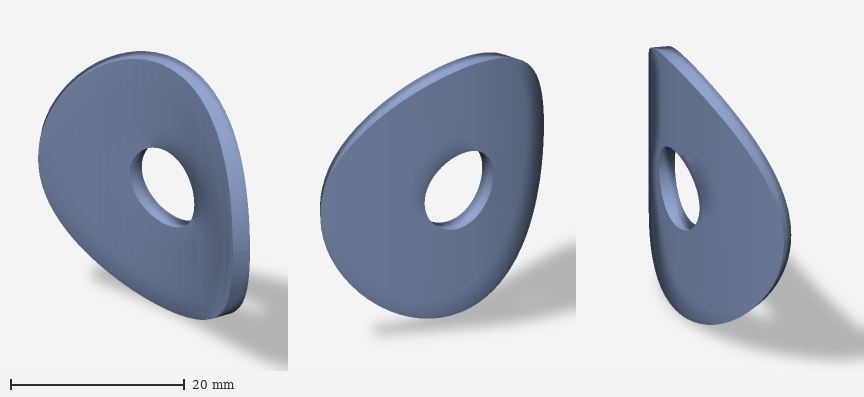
import cadquery as cq

outer_diameter = 33.0
hole_diameter = 10.0
thickness = 2.0
inner_radius = 24.98
inner_half_width = 15.1
axis_y = -inner_radius
outer_radius = inner_radius + thickness


def curved_disc():
    """Trim the inner cylinder to an oval outline, then thicken it radially."""
    cutter = (
        cq.Workplane("XZ", origin=(0, axis_y, 0))
        .ellipse(outer_diameter / 2, inner_half_width, rotation_angle=90)
        .extrude(-2 * inner_radius)
    )
    cylinder = (
        cq.Workplane("XY", origin=(0, axis_y, 0))
        .circle(inner_radius)
        .extrude(outer_diameter, both=True)
        .rotate((0, axis_y, 0), (0, axis_y, 1), -90)
    )
    inner_face = cylinder.intersect(cutter).faces(">Y").val()
    return cq.Workplane(inner_face.thicken(thickness))


def centre_hole():
    """Straight cutter through the middle of the disc along Y."""
    return (
        cq.Workplane("XZ", origin=(0, axis_y, 0))
        .circle(hole_diameter / 2)
        .extrude(-2 * outer_radius)
    )


result = curved_disc().cut(centre_hole())